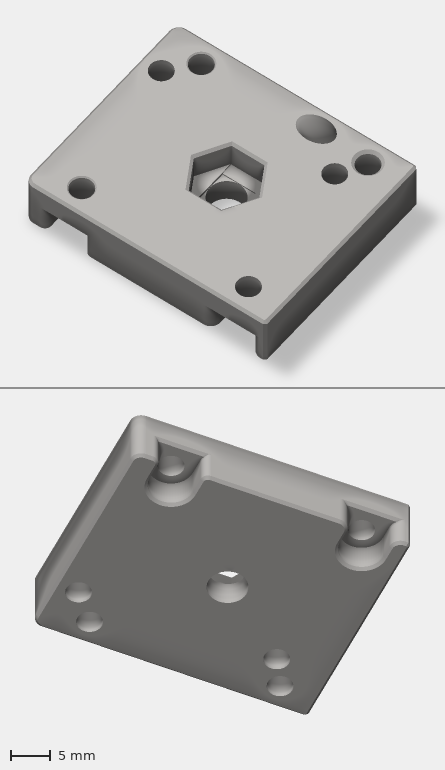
import cadquery as cq
import math

LENGTH = 38.3
WIDTH = 31.97
HEIGHT = 8.0
CORNER_RADIUS = 1.5
EDGE_CHAMFER = 0.4

SCREW_DIAMETER = 3.4
LEFT_SCREW_X = -12.6
RIGHT_SCREW_X = 13.82
SCREW_Y = 12.52
SMALL_COUNTERSINK = 0.2
LARGE_COUNTERSINK = 0.42
PAIR_HOLE_Y = 8.55
LEFT_PAIR_HOLE_X = -15.93
RIGHT_PAIR_HOLE_X = 11.55

HEAD_DIAMETER = 5.97
POCKET_HEIGHT = 4.02
LEFT_MOUTH_RADIUS = 1.0
RIGHT_MOUTH_RADIUS = 1.5

NUT_X = 0.88
NUT_FLATS = 9.0
NUT_DEPTH = 4.02
NUT_HOLE_DIAMETER = 5.32
STEP_DEPTH = 0.2

SLANT_X = 5.35
SLANT_Y = 12.85
SLANT_DIAMETER = 4.05
SLANT_ANGLE = 45.0
SLANT_LENGTH = 6.9

FRONT_Y = -WIDTH / 2
HEX_CORNER_RATIO = 1 / math.cos(math.radians(30))


def make_plate():
    """Rectangular plate, rounded at the -X corners and chamfered at the +X corners."""
    plate = cq.Workplane("XY").box(LENGTH, WIDTH, HEIGHT, centered=(True, True, False))
    plate = plate.edges("|Z and <X").fillet(CORNER_RADIUS)
    return plate.edges("|Z and >X").chamfer(EDGE_CHAMFER)


def make_head_pocket(center_x, mouth_radius):
    """Round-ended pocket whose mouth flares out through the -Y side."""
    half_width = HEAD_DIAMETER / 2
    left_x = center_x - half_width
    right_x = center_x + half_width
    flare_bend = mouth_radius * (1 - math.sqrt(0.5))
    flare_end_y = FRONT_Y + mouth_radius
    outline = (
        cq.Workplane("XY")
        .moveTo(left_x - mouth_radius, FRONT_Y)
        .threePointArc((left_x - flare_bend, FRONT_Y + flare_bend), (left_x, flare_end_y))
        .lineTo(left_x, -SCREW_Y)
        .threePointArc((center_x, half_width - SCREW_Y), (right_x, -SCREW_Y))
        .lineTo(right_x, flare_end_y)
        .threePointArc((right_x + flare_bend, FRONT_Y + flare_bend), (right_x + mouth_radius, FRONT_Y))
        .close()
    )
    mouth_top = POCKET_HEIGHT + EDGE_CHAMFER
    side_outline = (
        cq.Workplane("YZ")
        .moveTo(FRONT_Y, 0)
        .lineTo(FRONT_Y, mouth_top)
        .lineTo(FRONT_Y + EDGE_CHAMFER, POCKET_HEIGHT)
        .lineTo(0, POCKET_HEIGHT)
        .lineTo(0, 0)
        .close()
    )
    return outline.extrude(mouth_top).intersect(side_outline.extrude(LENGTH, both=True))


def make_countersunk_hole(center_x, center_y, countersink):
    """Through hole with a 45 degree countersink at the top face."""
    radius = SCREW_DIAMETER / 2
    hole = cq.Workplane("XY").center(center_x, center_y).circle(radius).extrude(HEIGHT)
    cone = cq.Solid.makeCone(
        radius, radius + countersink, countersink, cq.Vector(center_x, center_y, HEIGHT - countersink)
    )
    return hole.union(cq.Workplane(cone))


def make_nut_recess():
    """Chamfered hexagonal recess, then a slot, a square and a round through hole."""
    hex_floor = HEIGHT - NUT_DEPTH
    slot_floor = hex_floor - STEP_DEPTH
    square_floor = slot_floor - STEP_DEPTH
    inner_corners = NUT_FLATS * HEX_CORNER_RATIO
    outer_corners = (NUT_FLATS + 2 * EDGE_CHAMFER) * HEX_CORNER_RATIO

    def level(z):
        return cq.Workplane("XY", origin=(NUT_X, 0, z))

    recess = level(hex_floor).polygon(6, inner_corners).extrude(NUT_DEPTH)
    rim = (
        level(HEIGHT - EDGE_CHAMFER)
        .polygon(6, inner_corners)
        .workplane(offset=EDGE_CHAMFER)
        .polygon(6, outer_corners)
        .loft(ruled=True)
    )
    slot = level(slot_floor).rect(NUT_HOLE_DIAMETER, NUT_FLATS).extrude(STEP_DEPTH)
    square = level(square_floor).rect(NUT_HOLE_DIAMETER, NUT_HOLE_DIAMETER).extrude(STEP_DEPTH)
    bore = level(0).circle(NUT_HOLE_DIAMETER / 2).extrude(HEIGHT)
    return recess.union(rim).union(slot).union(square).union(bore)


def make_slanted_hole():
    """Blind round hole sloping down towards +X from the top face."""
    slope = math.radians(SLANT_ANGLE)
    direction = cq.Vector(math.sin(slope), 0, -math.cos(slope))
    entry = cq.Vector(SLANT_X, SLANT_Y, HEIGHT)
    start = entry - direction * SLANT_DIAMETER
    hole = cq.Solid.makeCylinder(SLANT_DIAMETER / 2, SLANT_DIAMETER + SLANT_LENGTH, start, direction)
    return cq.Workplane(hole)


plate = make_plate()
plate = plate.cut(make_head_pocket(LEFT_SCREW_X, LEFT_MOUTH_RADIUS))
plate = plate.cut(make_head_pocket(RIGHT_SCREW_X, RIGHT_MOUTH_RADIUS))
plate = plate.faces("<Z or >Z").edges().chamfer(EDGE_CHAMFER)

countersunk_holes = [
    (LEFT_SCREW_X, SCREW_Y, SMALL_COUNTERSINK),
    (LEFT_SCREW_X, -SCREW_Y, SMALL_COUNTERSINK),
    (RIGHT_SCREW_X, SCREW_Y, LARGE_COUNTERSINK),
]
for center_x, center_y, countersink in countersunk_holes:
    plate = plate.cut(make_countersunk_hole(center_x, center_y, countersink))

plain_holes = [
    (RIGHT_SCREW_X, -SCREW_Y),
    (LEFT_PAIR_HOLE_X, PAIR_HOLE_Y),
    (RIGHT_PAIR_HOLE_X, PAIR_HOLE_Y),
]
plate = plate.cut(cq.Workplane("XY").pushPoints(plain_holes).circle(SCREW_DIAMETER / 2).extrude(HEIGHT))

plate = plate.cut(make_nut_recess())
result = plate.cut(make_slanted_hole())